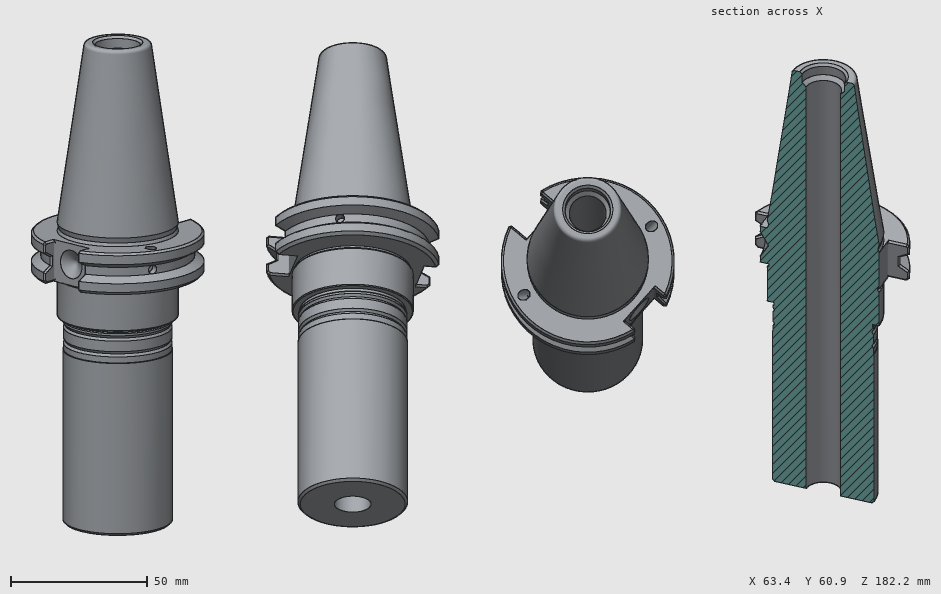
import cadquery as cq
import math

tolerance = 0.02

total_length = 182.2
gauge_z = 113.9
flange_top_z = gauge_z - 3.3
flange_bottom_z = gauge_z - 19.1
flange_groove_z = gauge_z - 11.1
collar_bottom_z = 78.4

gauge_radius = 22.2
taper_slope = 7 / 24 / 2
taper_top_radius = gauge_radius - taper_slope * (total_length - gauge_z)
taper_top_fillet = 1.5
relief_depth = 0.5
relief_neck_z = 111.9

flange_radius = 31.7
flange_top_chamfer = 0.82
flange_bottom_chamfer = 1.1
groove_floor_radius = 28.2
groove_floor_half_width = 1.6
groove_flank_angle = 30.0
groove_rim_half_width = groove_floor_half_width + (
    (flange_radius - groove_floor_radius) * math.tan(math.radians(groove_flank_angle))
)

collar_radius = gauge_radius
collar_top_relief = 0.7
collar_edge_chamfer = 0.4
nose_radius = 40.3 / 2
nose_chamfer = 1.0
nose_top_z = 65.8
neck_radius = 40.0 / 2
neck_relief_depth = 0.4
neck_relief_z = 77.3
ring_groove_depth = 0.64
ring_groove_half_width = 1.0
ring_groove_heights = (75.0, 69.0)

slot_width = 16.4
slot_edge_chamfer = 0.7
slot_corner_radius = 0.4
front_slot_floor = 25.0
back_slot_floor = 22.2
dimple_diameter = 10.8
dimple_angle = 118.0

coolant_radius = 26.8
coolant_azimuth = 160.0
coolant_diameter = 3.8
coolant_tilt = 35.0
coolant_depth = 7.3
plug_diameter = 3.3
plug_depth = 3.3

bore_diameter = 13.5
counterbore_diameter = 16.5
counterbore_depth = 4.5
counterbore_chamfer = 1.0
counterbore_cone_angle = 90.0


def revolved(profile):
    """Solid of revolution about Z from (radius, height) points."""
    return cq.Workplane("XZ").polyline(profile).close().revolve(360, (0, 0, 0), (0, 1, 0))


def ring_groove(height):
    """Points of a V-groove around the neck, from top to bottom."""
    return [
        (neck_radius, height + ring_groove_half_width),
        (neck_radius - ring_groove_depth, height),
        (neck_radius, height - ring_groove_half_width),
    ]


def body():
    taper = [
        (0, total_length),
        (taper_top_radius, total_length),
        (gauge_radius, gauge_z),
        (gauge_radius - relief_depth, relief_neck_z),
        (gauge_radius, flange_top_z),
    ]
    flange = [
        (flange_radius - flange_top_chamfer, flange_top_z),
        (flange_radius, flange_top_z - flange_top_chamfer),
        (flange_radius, flange_groove_z + groove_rim_half_width),
        (groove_floor_radius, flange_groove_z + groove_floor_half_width),
        (groove_floor_radius, flange_groove_z - groove_floor_half_width),
        (flange_radius, flange_groove_z - groove_rim_half_width),
        (flange_radius, flange_bottom_z + flange_bottom_chamfer),
        (flange_radius - flange_bottom_chamfer, flange_bottom_z),
    ]
    collar = [
        (collar_radius - collar_top_relief, flange_bottom_z),
        (collar_radius - collar_top_relief, flange_bottom_z - collar_top_relief),
        (collar_radius, flange_bottom_z - 2 * collar_top_relief),
        (collar_radius, collar_bottom_z + collar_edge_chamfer),
        (collar_radius - collar_edge_chamfer, collar_bottom_z),
    ]
    neck = [
        (neck_radius - neck_relief_depth, collar_bottom_z),
        (neck_radius - neck_relief_depth, neck_relief_z),
        (neck_radius, neck_relief_z - neck_relief_depth),
    ]
    for height in ring_groove_heights:
        neck += ring_groove(height)
    nose = [
        (neck_radius, nose_top_z),
        (nose_radius, nose_top_z - (nose_radius - neck_radius)),
        (nose_radius, nose_chamfer),
        (nose_radius - nose_chamfer, 0),
        (0, 0),
    ]
    solid = revolved(taper + flange + collar + neck + nose)
    return solid.faces(">Z").edges().fillet(taper_top_fillet)


def bore():
    """Through bore with a chamfered counterbore that ends in a cone."""
    wall = counterbore_diameter / 2
    inner = bore_diameter / 2
    cone_height = (wall - inner) / math.tan(math.radians(counterbore_cone_angle / 2))
    shoulder_z = total_length - counterbore_depth
    return revolved([
        (0, total_length),
        (wall + counterbore_chamfer, total_length),
        (wall, total_length - counterbore_chamfer),
        (wall, shoulder_z),
        (inner, shoulder_z - cone_height),
        (inner, 0),
        (0, 0),
    ])


def drive_slot(floor_distance, side):
    """Slot cutter through the flange rim, on the +Y (side = 1) or -Y (side = -1) flank."""
    height = flange_top_z - flange_bottom_z
    depth = flange_radius - floor_distance
    middle = side * (floor_distance + depth / 2)
    return (
        cq.Workplane("XY", origin=(0, middle, flange_bottom_z))
        .rect(slot_width, depth)
        .extrude(height)
    )


def edges_in_wall(solid, wall_x, start_y, end_y):
    """Edges with their centres in the plane X = wall_x, at the height of the flange."""
    low_y, high_y = sorted((start_y, end_y))
    box = cq.selectors.BoxSelector(
        (wall_x - tolerance, low_y - tolerance, flange_bottom_z - tolerance),
        (wall_x + tolerance, high_y + tolerance, flange_top_z + tolerance),
    )
    return solid.edges(box)


def finished_slot_wall(solid, wall_x, floor_distance, side):
    """Chamfer the outer edges of one slot wall and round its corner with the slot floor."""
    floor_y = side * floor_distance
    first_edge_y = side * (floor_distance + 5 * tolerance)
    rim_y = side * flange_radius
    chamfered = edges_in_wall(solid, wall_x, first_edge_y, rim_y).chamfer(slot_edge_chamfer)
    return edges_in_wall(chamfered, wall_x, floor_y, floor_y).fillet(slot_corner_radius)


def dimple():
    """Conical dimple in the floor of the -Y slot."""
    radius = dimple_diameter / 2
    depth = radius / math.tan(math.radians(dimple_angle / 2))
    cone = cq.Solid.makeCone(
        radius, 0, depth, cq.Vector(0, -front_slot_floor, flange_groove_z), cq.Vector(0, 1, 0)
    )
    return cq.Workplane(cone)


def radial_direction(azimuth):
    """Unit vector pointing away from the Z axis."""
    angle = math.radians(azimuth)
    return cq.Vector(math.cos(angle), math.sin(angle), 0)


def coolant_inlet(azimuth):
    """Hole from the flange top face, leaning towards the axis as it goes down."""
    tilt = math.radians(coolant_tilt)
    outward = radial_direction(azimuth)
    axis = outward * -math.sin(tilt) - cq.Vector(0, 0, math.cos(tilt))
    mouth = outward * coolant_radius + cq.Vector(0, 0, flange_top_z)
    start = mouth - axis * coolant_diameter
    hole = cq.Solid.makeCylinder(coolant_diameter / 2, coolant_diameter + coolant_depth, start, axis)
    return cq.Workplane(hole)


def plug_hole(azimuth):
    """Radial blind hole in the floor of the flange groove."""
    outward = radial_direction(azimuth)
    start = outward * (groove_floor_radius - plug_depth) + cq.Vector(0, 0, flange_groove_z)
    hole = cq.Solid.makeCylinder(plug_diameter / 2, 2 * plug_depth, start, outward)
    return cq.Workplane(hole)


result = body().cut(bore())
for floor_distance, side in ((front_slot_floor, -1), (back_slot_floor, 1)):
    result = result.cut(drive_slot(floor_distance, side))
    for wall_x in (-slot_width / 2, slot_width / 2):
        result = finished_slot_wall(result, wall_x, floor_distance, side)
result = result.cut(dimple())
for azimuth in (coolant_azimuth, coolant_azimuth + 180):
    result = result.cut(coolant_inlet(azimuth)).cut(plug_hole(azimuth))